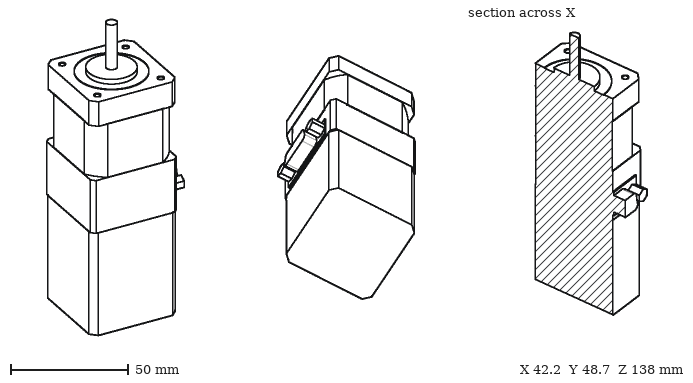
import cadquery as cq
import math

motor_width = 42.2
driver_width = 42.0
plate_width = 42.0
motor_top = 50.2
driver_top = 76.0
gearbox_top = 102.2
plate_top = 114.2
motor_chamfer = 3.0
driver_chamfer = 1.8
plate_chamfer = 3.0

gearbox_width = 41.6
gearbox_round_diameter = 49.6

recess_diameter = 32.0
recess_depth = 0.3
pilot_diameter = 22.0
pilot_height = 2.0
shaft_diameter = 5.0
shaft_top = 138.0
screw_hole_diameter = 2.5
countersink_diameter = 3.0
screw_hole_depth = 8.0
screw_hole_spacing = 31.0
drill_point_angle = 118.0

connector_reach = 6.6
connector_z = 58.9
connector_flange_width = 30.8
connector_flange_height = 12.5
connector_flange_thickness = 0.6
shell_height = 9.1
shell_top_width = 14.8
shell_side_angle = 10.0
shell_corner_radius = 2.1
jack_spacing = 25.0
jack_across_flats = 5.5
short_jack_setback = 0.5

back_y = driver_width / 2
connector_end_y = back_y + connector_reach
flange_face_y = back_y + connector_flange_thickness


def chamfered_block(width, bottom, top, chamfer):
    """Square housing with chamfered upright corners."""
    block = cq.Workplane("XY", origin=(0, 0, bottom)).rect(width, width).extrude(top - bottom)
    return block.edges("|Z").chamfer(chamfer)


def cylinder(diameter, bottom, top):
    return cq.Workplane("XY", origin=(0, 0, bottom)).circle(diameter / 2).extrude(top - bottom)


def gearbox_housing():
    height = gearbox_top - driver_top
    square = cq.Workplane("XY", origin=(0, 0, driver_top)).rect(gearbox_width, gearbox_width).extrude(height)
    return square.intersect(cylinder(gearbox_round_diameter, driver_top, gearbox_top))


def screw_holes():
    """Four blind drilled holes with 45 degree countersinks and conical ends."""
    radius = screw_hole_diameter / 2
    mouth_radius = countersink_diameter / 2
    point_depth = radius / math.tan(math.radians(drill_point_angle / 2))
    hole = (
        cq.Workplane("XZ")
        .moveTo(0, 0)
        .lineTo(mouth_radius, 0)
        .lineTo(radius, radius - mouth_radius)
        .lineTo(radius, -screw_hole_depth)
        .lineTo(0, -screw_hole_depth - point_depth)
        .close()
        .revolve(360, (0, 0), (0, 1))
        .val()
    )
    centers = cq.Workplane("XY", origin=(0, 0, plate_top)).rect(
        screw_hole_spacing, screw_hole_spacing, forConstruction=True
    )
    return centers.vertices().eachpoint(lambda place: hole.located(place), combine=False)


def output_face():
    """Mounting plate with its recess, screw holes, pilot boss and shaft."""
    recess_floor = plate_top - recess_depth
    pilot_top = plate_top + pilot_height
    plate = chamfered_block(plate_width, gearbox_top, plate_top, plate_chamfer)
    plate = plate.cut(cylinder(recess_diameter, recess_floor, plate_top))
    for hole in screw_holes().vals():
        plate = plate.cut(cq.Workplane(hole))
    plate = plate.union(cylinder(pilot_diameter, recess_floor, pilot_top))
    return plate.union(cylinder(shaft_diameter, pilot_top, shaft_top))


def back_plane(x, y):
    """Sketch plane facing -Y at depth y: local X is +X and local Y is +Z."""
    return cq.Workplane("XZ", origin=(x, y, connector_z))


def jack_screw(x, end_y):
    """Hexagonal jack screw with flats facing -X and +X."""
    corner_diameter = jack_across_flats / math.cos(math.pi / 6)
    hexagon = back_plane(x, flange_face_y).transformed(rotate=(0, 0, 90)).polygon(6, corner_diameter)
    return hexagon.extrude(flange_face_y - end_y)


def connector():
    flange = (
        back_plane(0, back_y)
        .rect(connector_flange_width, connector_flange_height)
        .extrude(-connector_flange_thickness)
    )
    half_top = shell_top_width / 2
    half_bottom = half_top + shell_height * math.tan(math.radians(shell_side_angle))
    half_height = shell_height / 2
    shell = (
        back_plane(0, flange_face_y)
        .polyline(
            [
                (-half_top, half_height),
                (half_top, half_height),
                (half_bottom, -half_height),
                (-half_bottom, -half_height),
            ]
        )
        .close()
        .extrude(flange_face_y - connector_end_y)
        .edges("|Y")
        .fillet(shell_corner_radius)
    )
    left_jack = jack_screw(-jack_spacing / 2, connector_end_y)
    right_jack = jack_screw(jack_spacing / 2, connector_end_y - short_jack_setback)
    return flange.union(shell).union(left_jack).union(right_jack)


motor = chamfered_block(motor_width, 0, motor_top, motor_chamfer)
driver = chamfered_block(driver_width, motor_top, driver_top, driver_chamfer)
result = motor.union(driver).union(gearbox_housing()).union(output_face()).union(connector())